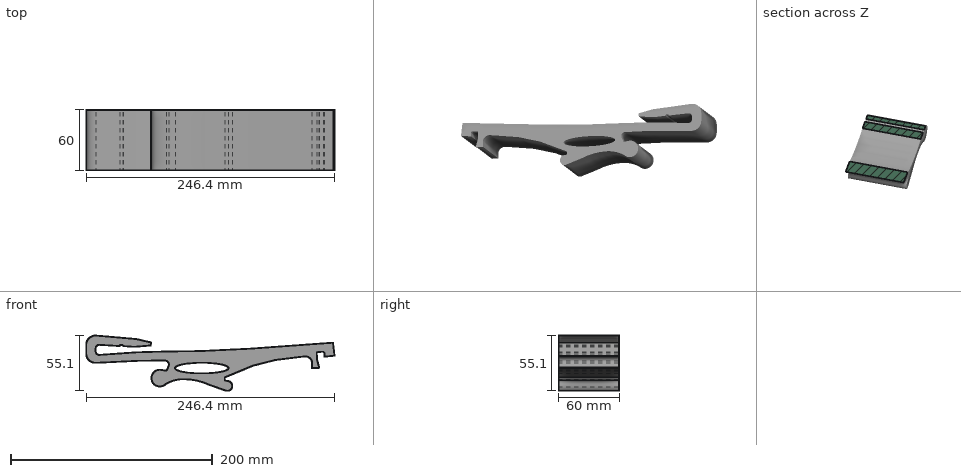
import cadquery as cq
import math

width = 60.01
length = 246.38
height = 55.08

bend_radius = 9.5
bend_bottom = 27.75
wall = 9.6
slot_corner_radius = 3.4
slot_bottom = 35.85
slot_top = 45.65
jaw_slope_x, jaw_slope_z = 49.7, 51.6
jaw_bevel_x, jaw_bevel_z = 63.3, 48.5
jaw_tip_x, jaw_tip_top, jaw_tip_bottom = 64.6, 48.0, 45.0
jaw_tip_setback = 0.6
jaw_low_x, jaw_low_z = 47.6, 43.6

notch_left, notch_right = 33.5, 36.2
notch_mouth_right = 37.0
notch_top, notch_mouth = 45.5, 44.4

arm_top_facets = [
    (50.5, 38.5),
    (77.3, 39.2),
    (112.9, 39.7),
    (115.9, 39.78),
    (118.0, 39.9),
    (162.7, 42.05),
]
arm_end_top = (244.8, 48.0)

end_bottom_z = 34.9
lip_left, lip_bottom = 236.1, 33.9
gap_chamfer = 1.0
gap_left, gap_top_left, gap_top_right = 228.8, 38.3, 38.85
leg_bend_x, leg_bend_z = 229.0, 31.0
leg_left, leg_right, leg_bottom = 223.9, 231.1, 22.75
leg_chamfer = 0.6
leg_fillet_top = (217.0, 34.2)
leg_fillet_middle = (221.7, 32.5)
leg_fillet_bottom_z = 28.7

arm_bottom_facets = [(187.5, 30.6), (165.2, 24.9)]
foot_right_x, foot_right_z = 137.6, 13.4

foot_left_x = 79.7
neck_arc_bottom = (81.8, 24.9)
neck_arc_middle = (81.5, 28.1)
neck_arc_top = (78.7, 30.0)
strap_bend = (55.0, 29.95)

window_x, window_z = 114.7, 22.7
window_half_length, window_half_height = 26.4, 5.2

ball_x, ball_z, ball_radius = 73.1, 12.75, 8.4
tip_radius = 5.0
tip_x, tip_z = 140.0, tip_radius
waist_x, waist_z = 96.5, 11.6
waist_right_radius = 62.0
waist_left_x = 79.0
waist_right_x = 122.5

waist_left_z = ball_z - math.sqrt(ball_radius**2 - (waist_left_x - ball_x) ** 2)
waist_left_rise = waist_z - waist_left_z
waist_left_radius = ((waist_x - waist_left_x) ** 2 + waist_left_rise**2) / (2 * waist_left_rise)

end_spacing = math.hypot(tip_x - ball_x, tip_z - ball_z)
tangent_angle = (
    math.pi / 2
    + math.atan2(tip_z - ball_z, tip_x - ball_x)
    - math.asin((ball_radius - tip_radius) / end_spacing)
)


def on_circle(x, z, radius, angle):
    """Point on a circle, the angle in radians from +X."""
    return (x + radius * math.cos(angle), z + radius * math.sin(angle))


def lever_top(x):
    """Point on the flat top of the lever at a given X."""
    start_x, start_z = on_circle(ball_x, ball_z, ball_radius, tangent_angle)
    return (x, start_z - (x - start_x) / math.tan(tangent_angle))


def waist_point(x, radius):
    """Point on an arc that crests at the waist."""
    return (x, waist_z - radius + math.sqrt(radius**2 - (x - waist_x) ** 2))


def extrude_profile(profile):
    """Extrude a closed XZ profile symmetrically about Y = 0."""
    return profile.extrude(width / 2, both=True)


def corner_middle(x, z, radius, degrees):
    """Middle of a quarter-round corner, given its centre."""
    return on_circle(x, z, radius, math.radians(degrees))


def make_arm():
    """Hook, arm and latch, ending below on the flat top of the lever."""
    bend_low_z = bend_bottom + bend_radius
    bend_high_z = height - bend_radius
    slot_centre_x = wall + slot_corner_radius
    slot_low_z = slot_bottom + slot_corner_radius
    slot_high_z = slot_top - slot_corner_radius

    profile = cq.Workplane("XZ").moveTo(bend_radius, bend_bottom)
    profile = (
        profile.threePointArc(corner_middle(bend_radius, bend_low_z, bend_radius, 225), (0, bend_low_z))
        .lineTo(0, bend_high_z)
        .threePointArc(corner_middle(bend_radius, bend_high_z, bend_radius, 135), (bend_radius, height))
        .lineTo(jaw_slope_x, jaw_slope_z)
        .lineTo(jaw_bevel_x, jaw_bevel_z)
        .lineTo(jaw_tip_x, jaw_tip_top)
        .lineTo(jaw_tip_x - jaw_tip_setback, jaw_tip_bottom)
        .lineTo(jaw_low_x, jaw_low_z)
    )
    profile = (
        profile.lineTo(notch_mouth_right, notch_mouth)
        .lineTo(notch_right, notch_top)
        .lineTo(notch_left, notch_top)
        .lineTo(notch_left, notch_mouth)
        .lineTo(slot_centre_x, slot_top)
        .threePointArc(
            corner_middle(slot_centre_x, slot_high_z, slot_corner_radius, 135), (wall, slot_high_z)
        )
        .lineTo(wall, slot_low_z)
        .threePointArc(
            corner_middle(slot_centre_x, slot_low_z, slot_corner_radius, 225), (slot_centre_x, slot_bottom)
        )
    )
    for point in arm_top_facets:
        profile = profile.lineTo(*point)
    profile = (
        profile.lineTo(*arm_end_top)
        .lineTo(length, end_bottom_z)
        .lineTo(lip_left, lip_bottom)
        .lineTo(lip_left, gap_top_right - gap_chamfer)
        .lineTo(lip_left - gap_chamfer, gap_top_right)
        .lineTo(gap_left, gap_top_left)
        .lineTo(leg_bend_x, leg_bend_z)
        .lineTo(leg_right, leg_bottom + leg_chamfer)
        .lineTo(leg_right - leg_chamfer, leg_bottom)
        .lineTo(leg_left, leg_bottom)
        .lineTo(leg_left, leg_fillet_bottom_z)
        .threePointArc(leg_fillet_middle, leg_fillet_top)
    )
    for point in arm_bottom_facets:
        profile = profile.lineTo(*point)
    profile = (
        profile.lineTo(foot_right_x, foot_right_z)
        .lineTo(*lever_top(foot_right_x))
        .lineTo(*lever_top(foot_left_x))
        .lineTo(*neck_arc_bottom)
        .threePointArc(neck_arc_middle, neck_arc_top)
        .lineTo(*strap_bend)
        .close()
    )
    return extrude_profile(profile)


def make_window():
    """Oval bar that cuts the window through the arm."""
    profile = (
        cq.Workplane("XZ").center(window_x, window_z).ellipse(window_half_length, window_half_height)
    )
    return extrude_profile(profile)


def make_lever():
    """Two rounded ends, a flat top and a hollowed underside."""
    waist_left_middle = waist_point((waist_left_x + waist_x) / 2, waist_left_radius)
    waist_right = waist_point(waist_right_x, waist_right_radius)
    waist_right_middle = waist_point((waist_right_x + waist_x) / 2, waist_right_radius)
    tip_angle = -math.pi / 2 - math.asin((waist_right_x - waist_x) / waist_right_radius)
    profile = (
        cq.Workplane("XZ")
        .moveTo(*on_circle(ball_x, ball_z, ball_radius, tangent_angle))
        .lineTo(*on_circle(tip_x, tip_z, tip_radius, tangent_angle))
        .threePointArc((tip_x + tip_radius, tip_z), on_circle(tip_x, tip_z, tip_radius, tip_angle))
        .lineTo(*waist_right)
        .threePointArc(waist_right_middle, (waist_x, waist_z))
        .threePointArc(waist_left_middle, (waist_left_x, waist_left_z))
        .threePointArc((ball_x - ball_radius, ball_z), on_circle(ball_x, ball_z, ball_radius, tangent_angle))
        .close()
    )
    return extrude_profile(profile)


result = make_arm().cut(make_window()).union(make_lever(), clean=False)